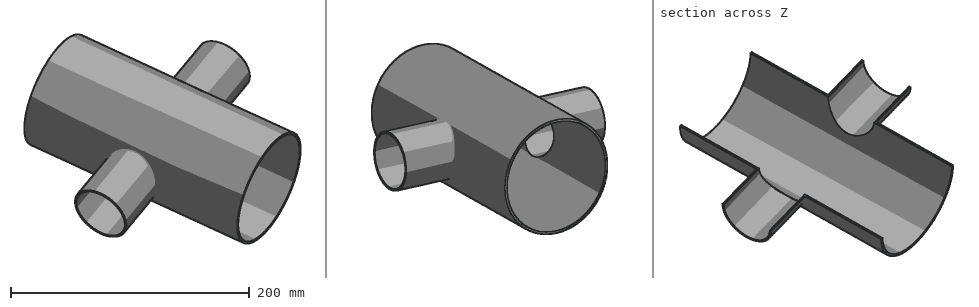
import cadquery as cq

run_length = 209.55
run_outer_diameter = 101.6
run_inner_diameter = 97.38

branch_span = 196.85
branch_outer_diameter = 50.8
branch_inner_diameter = 47.5

weld_radius = 1.6


def cylinder_along_x(diameter, length):
    """Solid cylinder along X, centred on the origin."""
    return cq.Workplane("YZ").circle(diameter / 2).extrude(length / 2, both=True)


def cylinder_along_y(diameter, length):
    """Solid cylinder along Y, centred on the origin."""
    return cq.Workplane("XZ").circle(diameter / 2).extrude(length / 2, both=True)


def outer_body():
    """Solid cross of run and branches, filleted along both junctions."""
    run = cylinder_along_x(run_outer_diameter, run_length)
    branches = cylinder_along_y(branch_outer_diameter, branch_span)
    cross = run.union(branches)
    junctions = cross.edges("not(%CIRCLE or %LINE)")
    return junctions.fillet(weld_radius)


def cut_bores(body):
    """Hollow out the run and the branches with through bores."""
    run_bore = cylinder_along_x(run_inner_diameter, run_length)
    branch_bore = cylinder_along_y(branch_inner_diameter, branch_span)
    return body.cut(run_bore).cut(branch_bore)


result = cut_bores(outer_body())